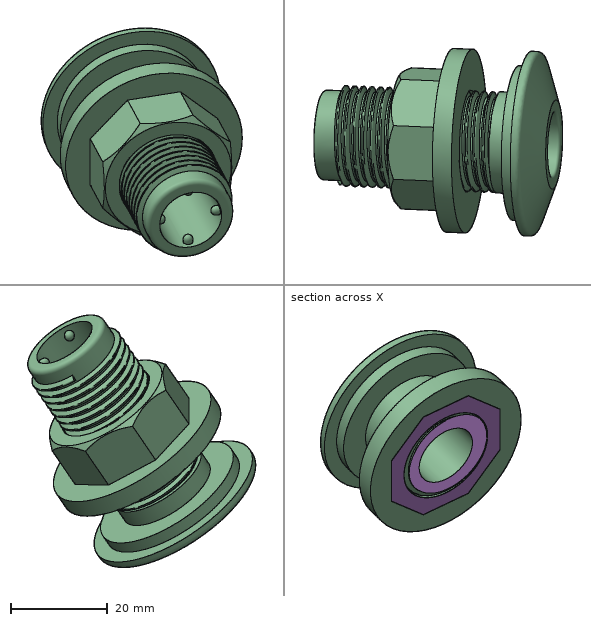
import cadquery as cq
import math


flange_back = 5.5
rim_width = 1.75
seat_end = 8.0
collar_end = 11.7
washer_start = 17.9
washer_thickness = 4.0
nut_length = 10.5
fitting_length = 48.9

flange_radius = 19.1
face_radius = 9.2
rim_fillet = 1.0
seat_radius = 16.0
collar_radius = 10.48
bore_radius = 6.65
bore_fillet = 0.55
end_fillet = 1.0

thread_pitch = 1.814
thread_root_radius = 9.3
thread_crest_radius = 10.45
thread_start = 10.54
thread_turns = 19
flank_angle = math.radians(27.5)
crest_width = 0.35
crest_round_height = 0.12
root_embed = 0.3

peg_count = 4
peg_radius = 1.0
peg_tip_radius = 4.95
peg_end_distance = 2.0

washer_radius = 19.0
clearance_hole_radius = 10.5
nut_sides = 8
nut_across_flats = 27.4
nut_chamfer = 1.3


def cylinder(start, length, radius):
    """Solid cylinder on the X axis."""
    return cq.Workplane("YZ").workplane(offset=start).circle(radius).extrude(length)


def make_thread():
    """Helical ridge, made along Z and then turned onto the X axis."""
    base_radius = thread_root_radius - root_embed
    shoulder_radius = thread_crest_radius - crest_round_height
    half_crest = crest_width / 2
    half_base = half_crest + (shoulder_radius - base_radius) * math.tan(flank_angle)
    helix = cq.Wire.makeHelix(thread_pitch, thread_pitch * thread_turns, thread_root_radius)
    ridge = (
        cq.Workplane("XZ")
        .moveTo(base_radius, -half_base)
        .lineTo(shoulder_radius, -half_crest)
        .threePointArc((thread_crest_radius, 0), (shoulder_radius, half_crest))
        .lineTo(base_radius, half_base)
        .close()
        .sweep(cq.Workplane(helix), isFrenet=True)
    )
    return ridge.rotate((0, 0, 0), (0, 1, 0), 90).translate((thread_start, 0, 0))


def make_peg():
    """Peg with a hemispherical nose, hanging from the top of the bore and rooted in the tube wall."""
    peg_position = fitting_length - peg_end_distance
    nose_center = peg_tip_radius + peg_radius
    root_radius = (bore_radius + thread_root_radius) / 2
    nose = cq.Workplane("XY", origin=(peg_position, 0, nose_center)).sphere(peg_radius)
    shank = (
        cq.Workplane("XY", origin=(peg_position, 0, nose_center))
        .circle(peg_radius)
        .extrude(root_radius - nose_center)
    )
    return nose.union(shank)


def make_body():
    """Tube with its collar, seat and flange, without thread and pegs."""
    cone_end = flange_back - rim_width
    body = (
        cq.Workplane("XY")
        .moveTo(0, bore_radius)
        .lineTo(0, face_radius)
        .lineTo(cone_end, flange_radius)
        .lineTo(flange_back, flange_radius)
        .lineTo(flange_back, seat_radius)
        .lineTo(seat_end, seat_radius)
        .lineTo(seat_end, collar_radius)
        .lineTo(collar_end, collar_radius)
        .lineTo(collar_end, thread_root_radius)
        .lineTo(fitting_length, thread_root_radius)
        .lineTo(fitting_length, bore_radius)
        .close()
        .revolve(360, (0, 0, 0), (1, 0, 0))
    )
    innermost = cq.selectors.RadiusNthSelector(0)
    outermost = cq.selectors.RadiusNthSelector(-1)
    body = body.edges("%CIRCLE").edges(outermost).edges("<X").fillet(rim_fillet)
    body = body.faces("<X").edges(innermost).fillet(bore_fillet)
    return body.faces(">X").edges(outermost).fillet(end_fillet)


def make_fitting():
    pegs = cq.Workplane("XY")
    for index in range(peg_count):
        angle = index * 360 / peg_count
        pegs = pegs.add(make_peg().rotate((0, 0, 0), (1, 0, 0), angle))
    return make_body().union(make_thread()).union(pegs)


def make_washer():
    hole = cylinder(washer_start, washer_thickness, clearance_hole_radius)
    return cylinder(washer_start, washer_thickness, washer_radius).cut(hole)


def make_nut():
    """Octagonal nut against the washer, with its outer corners chamfered by a 45 degree cone."""
    start = washer_start + washer_thickness
    half_side_angle = math.pi / nut_sides
    corner_radius = nut_across_flats / 2 / math.cos(half_side_angle)
    prism = (
        cq.Workplane("YZ")
        .workplane(offset=start)
        .polygon(nut_sides, 2 * corner_radius)
        .extrude(nut_length)
        .rotate((0, 0, 0), (1, 0, 0), math.degrees(half_side_angle))
    )
    envelope = cylinder(start, nut_length, corner_radius).faces(">X").edges().chamfer(nut_chamfer)
    return prism.intersect(envelope).cut(cylinder(start, nut_length, clearance_hole_radius))


fitting = make_fitting().solids()
washer = make_washer().solids()
nut = make_nut().solids()
result = cq.Compound.makeCompound([fitting.val(), washer.val(), nut.val()])